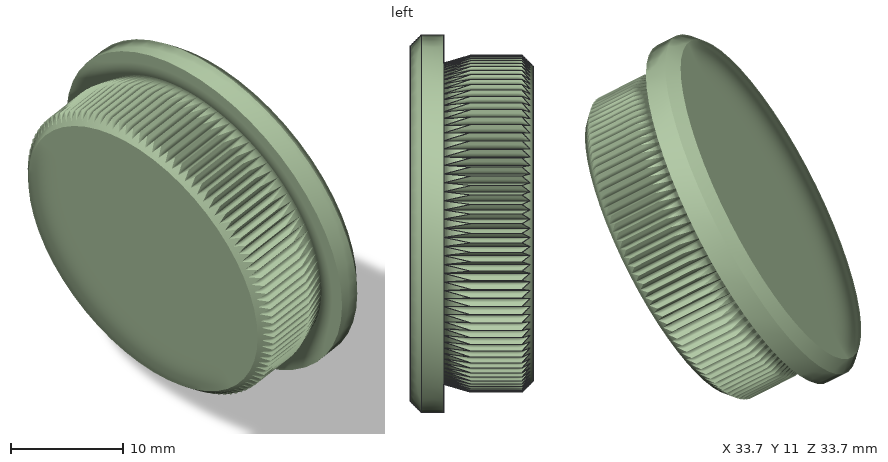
import cadquery as cq
import math

total_length = 11.0

flange_radius = 16.85
flange_thickness = 3.0
flange_chamfer = 1.0

crest_radius = 15.03
root_radius = 14.32
tooth_count = 110
lead_in_length = 2.4
nose_chamfer = 1.0

spigot_length = total_length - flange_thickness


def revolve_about_y(outline):
    return cq.Workplane("XY").polyline(outline).close().revolve(360, (0, 0, 0), (0, 1, 0))


def make_flange():
    return revolve_about_y([
        (0, spigot_length),
        (flange_radius, spigot_length),
        (flange_radius, total_length - flange_chamfer),
        (flange_radius - flange_chamfer, total_length),
        (0, total_length),
    ])


def make_spigot_envelope():
    """Turned shape of the spigot: nose chamfer, cylinder and lead-in taper."""
    return revolve_about_y([
        (0, 0),
        (crest_radius - nose_chamfer, 0),
        (crest_radius, nose_chamfer),
        (crest_radius, spigot_length - lead_in_length),
        (root_radius, spigot_length),
        (0, spigot_length),
    ])


def make_toothed_prism():
    """Star-shaped bar with one tooth tip on the +X axis."""
    half_pitch = math.pi / tooth_count
    star = []
    for corner in range(2 * tooth_count):
        radius = crest_radius if corner % 2 == 0 else root_radius
        angle = corner * half_pitch
        star.append((radius * math.cos(angle), radius * math.sin(angle)))
    return cq.Workplane("XZ").polyline(star).close().extrude(-spigot_length)


spigot = make_spigot_envelope().intersect(make_toothed_prism())
result = make_flange().union(spigot)